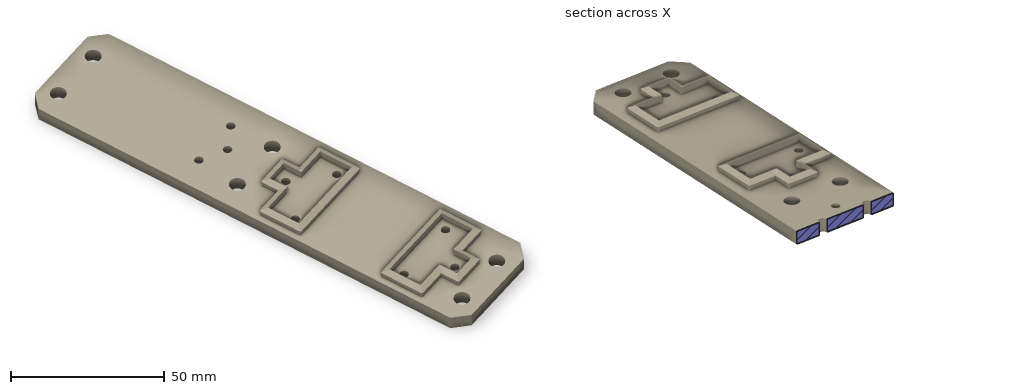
import cadquery as cq
import math

plate_length = 173.0
plate_width = 40.3
plate_thickness = 5.0
total_height = 8.0
corner_cut = 5.0

mount_line_y = -0.9
mount_hole_diameter = 5.5
mount_hole_columns = (-80.1, -9.2, 79.8)
mount_hole_offset_y = 10.0

screw_hole_diameter = 3.1
triangle_base_x = -25.6
triangle_tip_x = -20.6
triangle_half_base = 9.2

rim_body_length = 16.5
rim_body_width = 34.3
rim_tab_length = 7.0
rim_tab_width = 12.3
rim_thickness = 2.0
bevel_height = 1.0
rim_height = total_height - plate_thickness
rim_corner_radius = 0.5
left_rim_back_x = 20.8
right_rim_back_x = 52.5

rim_body_hole_inset = 5.7
rim_tab_hole_inset = 17.6
rim_body_hole_offset_y = 12.0


def t_outline(back_x, direction, inset, base_z):
    """T outline whose tab points along direction (+1 or -1) in X, shrunk by inset."""
    back = back_x + direction * inset
    shoulder = back_x + direction * (rim_body_length - inset)
    tab_end = back_x + direction * (rim_body_length + rim_tab_length - inset)
    half_body = rim_body_width / 2 - inset
    half_tab = rim_tab_width / 2 - inset
    return (
        cq.Workplane("XY", origin=(0, mount_line_y, base_z))
        .moveTo(back, -half_body)
        .lineTo(shoulder, -half_body)
        .lineTo(shoulder, -half_tab)
        .lineTo(tab_end, -half_tab)
        .lineTo(tab_end, half_tab)
        .lineTo(shoulder, half_tab)
        .lineTo(shoulder, half_body)
        .lineTo(back, half_body)
        .close()
    )


def rounded_block(start_x, end_x, width):
    """Full-height rim block with its upright edges rounded."""
    return (
        cq.Workplane("XY", origin=((start_x + end_x) / 2, mount_line_y, plate_thickness))
        .box(abs(end_x - start_x), width, rim_height, centered=(True, True, False))
        .edges("|Z")
        .fillet(rim_corner_radius)
    )


def rounded_t(back_x, direction):
    """Solid T with rounded outer corners; the corners between body and tab stay sharp."""
    shoulder = back_x + direction * rim_body_length
    tab_end = shoulder + direction * rim_tab_length
    body = rounded_block(back_x, shoulder, rim_body_width)
    tab_start = shoulder - direction * rim_thickness
    return body.union(rounded_block(tab_start, tab_end, rim_tab_width))


def rim(back_x, direction):
    """T-shaped wall whose top slopes up to a sharp edge around its pocket."""
    bevel_taper = math.degrees(math.atan2(rim_thickness, bevel_height))
    wall_height = rim_height - bevel_height
    bevel_base_z = plate_thickness + wall_height
    wall = t_outline(back_x, direction, 0, plate_thickness).extrude(wall_height)
    bevel = t_outline(back_x, direction, 0, bevel_base_z).extrude(bevel_height, taper=bevel_taper)
    pocket = t_outline(back_x, direction, rim_thickness, plate_thickness).extrude(rim_height)
    return wall.union(bevel).intersect(rounded_t(back_x, direction)).cut(pocket)


def rim_hole_points(back_x, direction):
    """Two screw holes in the body of the T and one in its tab."""
    body_x = back_x + direction * rim_body_hole_inset
    tab_x = back_x + direction * rim_tab_hole_inset
    return [
        (body_x, mount_line_y - rim_body_hole_offset_y),
        (body_x, mount_line_y + rim_body_hole_offset_y),
        (tab_x, mount_line_y),
    ]


def through_holes(points, diameter):
    return cq.Workplane("XY").pushPoints(points).circle(diameter / 2).extrude(plate_thickness)


result = (
    cq.Workplane("XY")
    .box(plate_length, plate_width, plate_thickness, centered=(True, True, False))
    .edges("|Z")
    .chamfer(corner_cut)
)

mount_points = [
    (x, mount_line_y + side * mount_hole_offset_y)
    for x in mount_hole_columns
    for side in (-1, 1)
]
result = result.cut(through_holes(mount_points, mount_hole_diameter))

triangle_points = [
    (triangle_base_x, -triangle_half_base),
    (triangle_base_x, triangle_half_base),
    (triangle_tip_x, 0),
]
result = result.cut(through_holes(triangle_points, screw_hole_diameter))

for back_x, direction in ((left_rim_back_x, -1), (right_rim_back_x, 1)):
    result = result.union(rim(back_x, direction))
    result = result.cut(through_holes(rim_hole_points(back_x, direction), screw_hole_diameter))